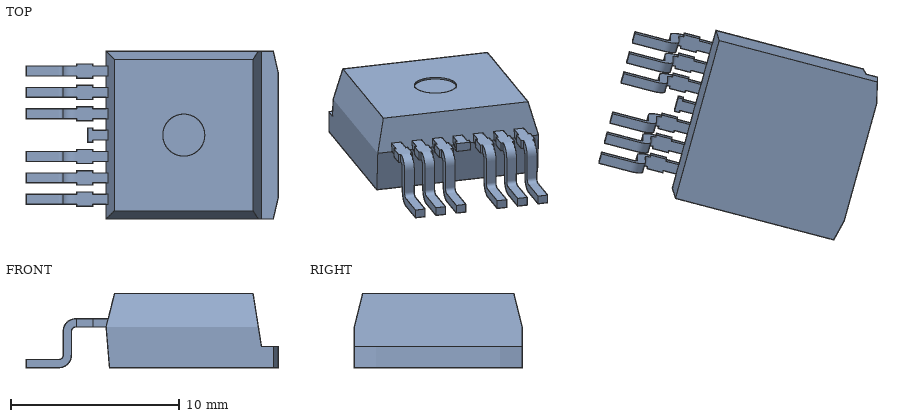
import cadquery as cq

total_length = 15.0
body_width = 10.0
body_height = 4.42

parting_height = 2.42
parting_left_x = 4.75
bottom_left_x = 4.95
top_left_x = 5.25
top_right_x = 13.5
tab_root_x = 14.0
top_inset_y = 0.5

mark_diameter = 2.5
mark_depth = 0.1
mark_x = (top_left_x + top_right_x) / 2

tab_height = 1.27
tab_corner_length = 0.3
tab_corner_width = 1.3

lead_pitch = 1.27
leads_per_side = 3
lead_thickness = 0.5
lead_width = 0.6
lead_outer_radius = 0.75
lead_inner_radius = lead_outer_radius - lead_thickness
lead_bottom = parting_height
lead_top = lead_bottom + lead_thickness
riser_x = 2.2
embed_depth = 0.5
lead_end_x = parting_left_x + embed_depth

shoulder_width = 0.86
shoulder_start_x = 3.0
shoulder_end_x = 3.97
stub_start_x = 3.66


def box_between(x_start, x_end, y_center, width, z_bottom, height):
    return (
        cq.Workplane("XY")
        .box(x_end - x_start, width, height, centered=(False, True, False))
        .translate((x_start, y_center, z_bottom))
    )


def make_body():
    """Side profile with sloped ends, whose long sides lean inward above the parting line."""
    right_lean = (tab_root_x - top_right_x) / (body_height - tab_height)
    parting_right_x = top_right_x + right_lean * (body_height - parting_height)
    profile = (
        cq.Workplane("XZ")
        .moveTo(bottom_left_x, 0)
        .lineTo(parting_left_x, parting_height)
        .lineTo(top_left_x, body_height)
        .lineTo(top_right_x, body_height)
        .lineTo(parting_right_x, parting_height)
        .lineTo(tab_root_x, tab_height)
        .lineTo(tab_root_x, 0)
        .close()
        .extrude(body_width / 2, both=True)
    )
    half_width = body_width / 2
    half_top_width = half_width - top_inset_y
    end_outline = (
        cq.Workplane("YZ")
        .moveTo(-half_width, 0)
        .lineTo(-half_width, parting_height)
        .lineTo(-half_top_width, body_height)
        .lineTo(half_top_width, body_height)
        .lineTo(half_width, parting_height)
        .lineTo(half_width, 0)
        .close()
        .extrude(total_length)
    )
    return profile.intersect(end_outline)


def make_tab():
    """Plate at the end opposite the leads, with both outer corners cut at an angle."""
    half_width = body_width / 2
    corner_x = total_length - tab_corner_length
    corner_y = half_width - tab_corner_width
    return (
        cq.Workplane("XY")
        .moveTo(tab_root_x, -half_width)
        .lineTo(corner_x, -half_width)
        .lineTo(total_length, -corner_y)
        .lineTo(total_length, corner_y)
        .lineTo(corner_x, half_width)
        .lineTo(tab_root_x, half_width)
        .close()
        .extrude(tab_height)
    )


def make_mark():
    return (
        cq.Workplane("XY", origin=(mark_x, 0, body_height - mark_depth))
        .circle(mark_diameter / 2)
        .extrude(mark_depth)
    )


def make_formed_lead(y_center):
    """Gull-wing lead: foot, lower bend, riser, upper bend and a straight run into the body."""
    riser_right_x = riser_x + lead_thickness
    foot_end_x = riser_right_x - lead_outer_radius
    upper_bend_end_x = riser_x + lead_outer_radius
    strip = (
        cq.Workplane("XZ", origin=(0, y_center, 0))
        .moveTo(0, 0)
        .lineTo(foot_end_x, 0)
        .radiusArc((riser_right_x, lead_outer_radius), -lead_outer_radius)
        .lineTo(riser_right_x, lead_bottom - lead_inner_radius)
        .radiusArc((upper_bend_end_x, lead_bottom), lead_inner_radius)
        .lineTo(lead_end_x, lead_bottom)
        .lineTo(lead_end_x, lead_top)
        .lineTo(upper_bend_end_x, lead_top)
        .radiusArc((riser_x, lead_top - lead_outer_radius), -lead_outer_radius)
        .lineTo(riser_x, lead_outer_radius)
        .radiusArc((foot_end_x, lead_thickness), lead_inner_radius)
        .lineTo(0, lead_thickness)
        .close()
        .extrude(lead_width / 2, both=True)
    )
    shoulder = box_between(
        shoulder_start_x, shoulder_end_x, y_center, shoulder_width, lead_bottom, lead_thickness
    )
    return strip.union(shoulder)


def make_cut_lead():
    """Centre lead, cut off short through its shoulder."""
    neck = box_between(stub_start_x, lead_end_x, 0, lead_width, lead_bottom, lead_thickness)
    shoulder = box_between(
        stub_start_x, shoulder_end_x, 0, shoulder_width, lead_bottom, lead_thickness
    )
    return neck.union(shoulder)


result = make_body().union(make_tab()).cut(make_mark()).union(make_cut_lead())
for position in range(1, leads_per_side + 1):
    for side in (-1, 1):
        result = result.union(make_formed_lead(side * position * lead_pitch))